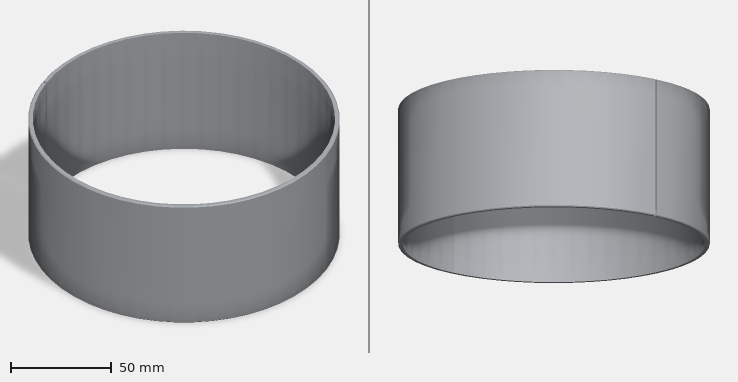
import cadquery as cq

outer_diameter = 155.0
height = 70.0
wall = 2.3
edge_chamfer = 0.5
gap_width = 1.1
gap_offset = 0.8

outer_radius = outer_diameter / 2
inner_radius = outer_radius - wall

disc = cq.Workplane("XY").circle(outer_radius).extrude(height)
disc = disc.faces("|Z").edges().chamfer(edge_chamfer)
bore = cq.Workplane("XY").circle(inner_radius).extrude(height)
ring = disc.cut(bore)

slit = cq.Workplane("XY").box(outer_radius, gap_width, height, centered=(False, True, False))
slit = slit.translate((-outer_radius, gap_offset, 0))

result = ring.cut(slit)